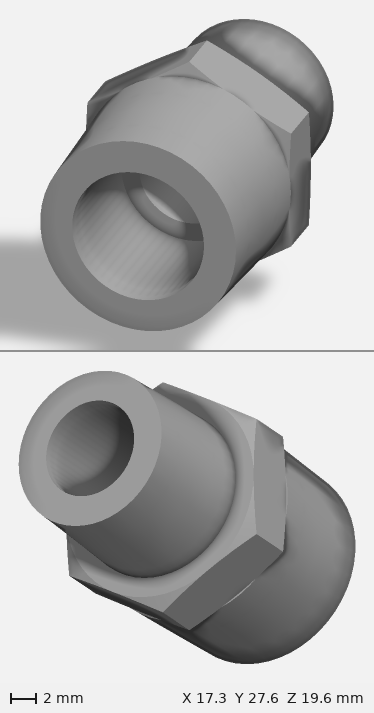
import cadquery as cq
import math

total_length = 27.65
front_length = 11.53
hex_length = 5.12
collar_length = 0.55

front_tip_diameter = 16.35
front_root_diameter = 17.3
rear_root_diameter = 13.8
rear_tip_diameter = 12.97

hex_across_corners = 19.63
hex_across_flats = hex_across_corners * math.cos(math.pi / 6)
chamfer_length = 0.47

front_bore_diameter = 11.0
rear_bore_diameter = 8.0

front_y = -total_length / 2
rear_y = total_length / 2
hex_front_y = front_y + front_length
hex_rear_y = hex_front_y + hex_length
collar_end_y = hex_rear_y + collar_length


def revolve_profile(points):
    """Turn a closed (radius, y) outline about the Y axis."""
    return cq.Workplane("XY").polyline(points).close().revolve(360, (0, 0, 0), (0, 1, 0))


def make_spigots():
    """Two tapered ends, with a short straight collar behind the hexagon."""
    return revolve_profile([
        (0, front_y),
        (front_tip_diameter / 2, front_y),
        (front_root_diameter / 2, hex_front_y),
        (rear_root_diameter / 2, hex_front_y),
        (rear_root_diameter / 2, collar_end_y),
        (rear_tip_diameter / 2, rear_y),
        (0, rear_y),
    ])


def make_hexagon():
    """Hexagon with corners on Z, conically chamfered at both ends."""
    prism = (
        cq.Workplane("XZ", origin=(0, hex_rear_y, 0))
        .polygon(6, hex_across_corners)
        .extrude(hex_length)
        .rotate((0, 0, 0), (0, 1, 0), 90)
    )
    face_radius = hex_across_flats / 2
    corner_radius = hex_across_corners / 2
    chamfer_envelope = revolve_profile([
        (0, hex_front_y),
        (face_radius, hex_front_y),
        (corner_radius, hex_front_y + chamfer_length),
        (corner_radius, hex_rear_y - chamfer_length),
        (face_radius, hex_rear_y),
        (0, hex_rear_y),
    ])
    return prism.intersect(chamfer_envelope)


def make_bore():
    """Stepped through bore, wide as far as the front of the hexagon."""
    return revolve_profile([
        (0, front_y),
        (front_bore_diameter / 2, front_y),
        (front_bore_diameter / 2, hex_front_y),
        (rear_bore_diameter / 2, hex_front_y),
        (rear_bore_diameter / 2, rear_y),
        (0, rear_y),
    ])


result = make_spigots().union(make_hexagon()).cut(make_bore())